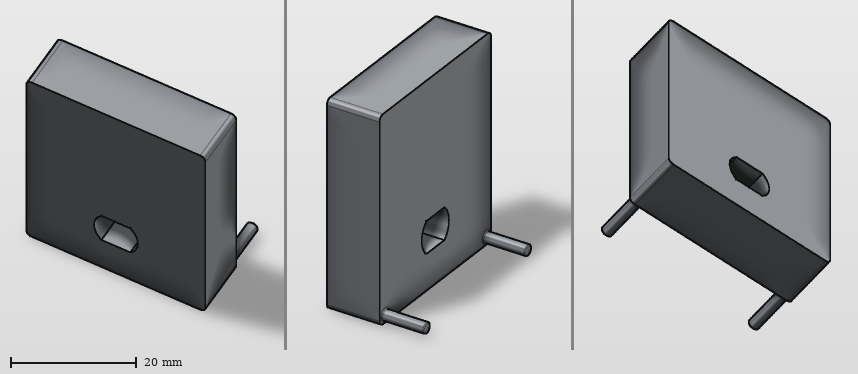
import cadquery as cq
import math

block_width = 32.71
block_depth = 10.0
block_height = 38.5
corner_radius = 1.0

opening_diameter = 8.0
opening_height = 6.0
opening_center_z = 9.75

pin_diameter = 2.0
pin_length = 8.0
pin_inset = 1.5
pin_spacing = block_width - 2 * pin_inset
pin_tip_fillet = 0.2
pin_root_fillet = 0.2


def make_block():
    """Plate centred on X, standing on Z = 0, with its four corners rounded."""
    block = cq.Workplane("XY").box(block_width, block_depth, block_height, centered=(True, False, False))
    return block.edges("|Y").fillet(corner_radius)


def make_opening():
    """Cutter for the double-flat hole, running through the full depth."""
    round_hole = (
        cq.Workplane("XZ", origin=(0, 0, opening_center_z))
        .circle(opening_diameter / 2)
        .extrude(-block_depth)
    )
    between_flats = (
        cq.Workplane("XY")
        .box(opening_diameter, block_depth, opening_height, centered=(True, False, True))
        .translate((0, 0, opening_center_z))
    )
    return round_hole.intersect(between_flats)


def make_pin():
    """Pin about the Y axis: a flared root at Y = 0 and a rounded tip, as one revolved profile."""
    radius = pin_diameter / 2
    diagonal = math.sqrt(0.5)
    root_mid = pin_root_fillet * (1 - diagonal)
    tip_mid = pin_tip_fillet * (1 - diagonal)
    return (
        cq.Workplane("YZ")
        .lineTo(0, radius + pin_root_fillet)
        .threePointArc((root_mid, radius + root_mid), (pin_root_fillet, radius))
        .lineTo(pin_length - pin_tip_fillet, radius)
        .threePointArc((pin_length - tip_mid, radius - tip_mid), (pin_length, radius - pin_tip_fillet))
        .lineTo(pin_length, 0)
        .close()
        .revolve(360, (0, 0, 0), (1, 0, 0))
    )


result = make_block().cut(make_opening())
for pin_x in (-pin_spacing / 2, pin_spacing / 2):
    result = result.union(make_pin().translate((pin_x, block_depth, pin_inset)))